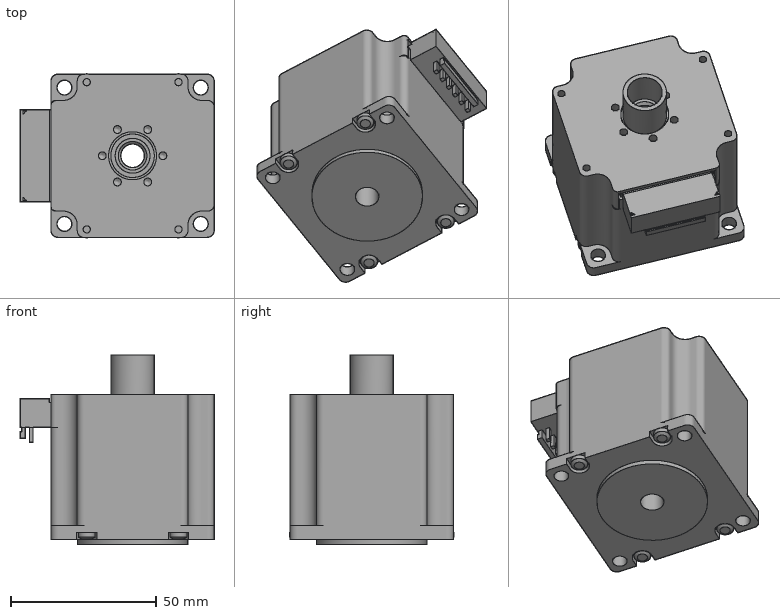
import cadquery as cq
import math


body_side = 56.3
half_side = body_side / 2
flange_height = 4.95
flange_corner_radius = 2.55
cap_bottom = 38.7
cap_top = 50.05
notch_size = 9.1
notch_inner_radius = 4.75
notch_outer_radius = 2.35
cap_connector_side_radius = 1.6

mount_hole_diameter = 5.0
mount_hole_offset = 23.5
pilot_diameter = 38.1
pilot_height = 1.75

shaft_diameter = 15.0
shaft_height = 13.65
shaft_counterbore_diameter = 12.0
shaft_counterbore_depth = shaft_height
shaft_cone_diameter = 9.85
shaft_bore_diameter = 8
shaft_groove_diameter = 16.5
shaft_groove_depth = 1.35

drill_tip_angle = 118
cap_hole_diameter = 2.7
cap_hole_depth = 4
cap_hole_circle_radius = 10.45
cap_hole_count = 6
corner_hole_diameter = 2.5
corner_hole_depth = 4.7

screw_x = 15.8
screw_y = 25.35
screw_slot_width = 6.95
screw_slot_height = 2.55
screw_rim_height = 1.7
screw_crown_height = 0.7
screw_crown_slope = 60
screw_span_y = 56.5
screw_head_diameter = screw_span_y - 2 * screw_y

overall_length = 66.9
connector_face_x = half_side - overall_length
connector_half_width = 15.9
connector_drop = 1.5
connector_top = cap_top - connector_drop
connector_gap = 0.55
connector_back_x = -half_side - connector_gap
connector_step = 1.3
pocket_depth = 2
pocket_half_width = half_side - notch_size - cap_connector_side_radius
pocket_floor_x = -half_side + pocket_depth
shoulder_half_width = 17.1
shoulder_height = 5.95
tab_half_width = 16.45
tab_height = 7.95
tab_setback = 1.0
mark_inset_x = 1.0
mark_inset_y = 0.5
mark_leg = 1.15
mark_depth = 0.4

latch_half_width = 10.6
latch_lip_thickness = 0.5
latch_thickness = 1.35
latch_length = 3.75
latch_lip_start = 1.5
pin_size = 1.35
pin_pitch = 3.95
pin_count = 6
pin_length = 5.15
pin_offset_x = 3.8


def block(x_min, x_max, half_width, z_min, z_max):
    """Box centred on Y = 0."""
    size = (x_max - x_min, 2 * half_width, z_max - z_min)
    return cq.Workplane("XY").box(*size, centered=False).translate((x_min, -half_width, z_min))


def cylinder(diameter, z_min, z_max, x=0, y=0):
    """Upright cylinder with its axis at (x, y)."""
    return cq.Workplane("XY", origin=(x, y, z_min)).circle(diameter / 2).extrude(z_max - z_min)


def mirrored_points(x, y):
    return [(sx * x, sy * y) for sx in (-1, 1) for sy in (-1, 1)]


def notched_block(z_min, z_max, minus_x_radius):
    """Square block with rounded notches in its four upright corners."""
    middle = (z_min + z_max) / 2
    inner = half_side - notch_size
    solid = block(-half_side, half_side, half_side, z_min, z_max)
    notches = (
        cq.Workplane("XY", origin=(0, 0, z_min))
        .pushPoints(mirrored_points(half_side, half_side))
        .rect(2 * notch_size, 2 * notch_size)
        .extrude(z_max - z_min)
    )
    solid = solid.cut(notches)

    def round_edge(target, x, y, radius):
        nearest = cq.selectors.NearestToPointSelector((x, y, middle))
        return target.edges("|Z").edges(nearest).fillet(radius)

    for x, y in mirrored_points(inner, inner):
        solid = round_edge(solid, x, y, notch_inner_radius)
    for x, y in mirrored_points(inner, half_side):
        solid = round_edge(solid, x, y, notch_outer_radius)
    for x, y in mirrored_points(half_side, inner):
        solid = round_edge(solid, x, y, minus_x_radius if x < 0 else notch_outer_radius)
    return solid


def housing():
    flange = block(-half_side, half_side, half_side, 0, flange_height)
    flange = flange.edges("|Z").fillet(flange_corner_radius)
    for x, y in mirrored_points(mount_hole_offset, mount_hole_offset):
        flange = flange.cut(cylinder(mount_hole_diameter, 0, flange_height, x, y))
    lower = notched_block(flange_height, cap_bottom, notch_outer_radius)
    cap = notched_block(cap_bottom, cap_top, cap_connector_side_radius)
    return flange.union(lower).union(cap).union(cylinder(pilot_diameter, -pilot_height, 0))


def drilled_hole(x, y):
    """Blind hole from the cap top with a conical drill tip."""
    radius = cap_hole_diameter / 2
    tip_length = radius / math.tan(math.radians(drill_tip_angle / 2))
    return (
        cq.Workplane("XZ")
        .polyline([(0, 0), (radius, 0), (radius, -cap_hole_depth), (0, -cap_hole_depth - tip_length)])
        .close()
        .revolve(360, (0, 0, 0), (0, 1, 0))
        .translate((x, y, cap_top))
    )


def drill_cap(solid):
    for index in range(cap_hole_count):
        angle = 2 * math.pi * index / cap_hole_count
        x = cap_hole_circle_radius * math.cos(angle)
        y = cap_hole_circle_radius * math.sin(angle)
        solid = solid.cut(drilled_hole(x, y))
    for x, y in mirrored_points(screw_x, screw_y):
        solid = solid.cut(cylinder(corner_hole_diameter, cap_top - corner_hole_depth, cap_top, x, y))
    return solid


def add_shaft(solid):
    """Hollow shaft in a ring groove, with a stepped and coned through bore."""
    shaft_top = cap_top + shaft_height
    groove_floor = cap_top - shaft_groove_depth
    solid = solid.cut(cylinder(shaft_groove_diameter, groove_floor, cap_top))
    solid = solid.union(cylinder(shaft_diameter, groove_floor, shaft_top))
    ledge_z = shaft_top - shaft_counterbore_depth
    bore_radius = shaft_bore_diameter / 2
    cone_radius = shaft_cone_diameter / 2
    counterbore_radius = shaft_counterbore_diameter / 2
    cone_bottom = ledge_z - (cone_radius - bore_radius)
    bore = (
        cq.Workplane("XZ")
        .moveTo(0, -pilot_height)
        .lineTo(bore_radius, -pilot_height)
        .lineTo(bore_radius, cone_bottom)
        .lineTo(cone_radius, ledge_z)
        .lineTo(counterbore_radius, ledge_z)
        .lineTo(counterbore_radius, shaft_top)
        .lineTo(0, shaft_top)
        .close()
        .revolve(360, (0, 0, 0), (0, 1, 0))
    )
    return solid.cut(bore)


def screw_head(x, y):
    """Straight rim under the slot roof with a conical crown below it."""
    rim_bottom = screw_slot_height - screw_rim_height
    crown = (
        cq.Workplane("XY", origin=(x, y, rim_bottom))
        .circle(screw_head_diameter / 2)
        .extrude(-screw_crown_height, taper=screw_crown_slope)
    )
    return cylinder(screw_head_diameter, rim_bottom, screw_slot_height, x, y).union(crown)


def add_screws(solid):
    """Round-ended slots open to the +Y and -Y faces, each holding a screw head."""
    slot_length = half_side - screw_y
    for x, y in mirrored_points(screw_x, screw_y):
        direction = math.copysign(1, y)
        channel = (
            cq.Workplane("XY")
            .center(x, y + direction * slot_length / 2)
            .rect(screw_slot_width, slot_length)
            .extrude(screw_slot_height)
        )
        solid = solid.cut(cylinder(screw_slot_width, 0, screw_slot_height, x, y))
        solid = solid.cut(channel)
        solid = solid.union(screw_head(x, y))
    return solid


def corner_mark(side):
    """Shallow triangular recess in the connector top; side is +1 or -1 along Y."""
    x = connector_face_x + mark_inset_x
    y = side * (connector_half_width - mark_inset_y)
    return (
        cq.Workplane("XY", origin=(0, 0, connector_top - mark_depth))
        .polyline([(x, y), (x + mark_leg, y), (x, y - side * mark_leg)])
        .close()
        .extrude(mark_depth)
    )


def connector():
    bottom = cap_bottom
    step_top = connector_top - connector_step
    solid = block(connector_face_x, connector_back_x, connector_half_width, bottom, connector_top)
    solid = solid.union(block(connector_back_x, pocket_floor_x, connector_half_width, bottom, step_top))
    solid = solid.union(
        block(-half_side, pocket_floor_x, shoulder_half_width, bottom, bottom + shoulder_height)
    )
    tab_front = -half_side + tab_setback
    solid = solid.union(block(tab_front, pocket_floor_x, tab_half_width, bottom, bottom + tab_height))
    for side in (-1, 1):
        solid = solid.cut(corner_mark(side))

    latch_front = connector_face_x + latch_lip_thickness
    latch_back = latch_front + latch_thickness
    latch_bottom = bottom - latch_length
    lip_top = bottom - latch_lip_start
    solid = solid.union(block(latch_front, latch_back, latch_half_width, latch_bottom, bottom))
    solid = solid.union(block(connector_face_x, latch_front, latch_half_width, latch_bottom, lip_top))

    pin_x = connector_face_x + pin_offset_x
    for index in range(pin_count):
        pin_y = (index - (pin_count - 1) / 2) * pin_pitch
        pin = block(pin_x - pin_size / 2, pin_x + pin_size / 2, pin_size / 2, bottom - pin_length, bottom)
        solid = solid.union(pin.translate((0, pin_y, 0)))
    return solid


def add_connector(solid):
    """Pocket in the -X side of the cap with the connector seated in it."""
    pocket = block(-half_side, pocket_floor_x, pocket_half_width, cap_bottom, connector_top)
    return solid.cut(pocket).union(connector())


result = add_connector(add_screws(add_shaft(drill_cap(housing()))))